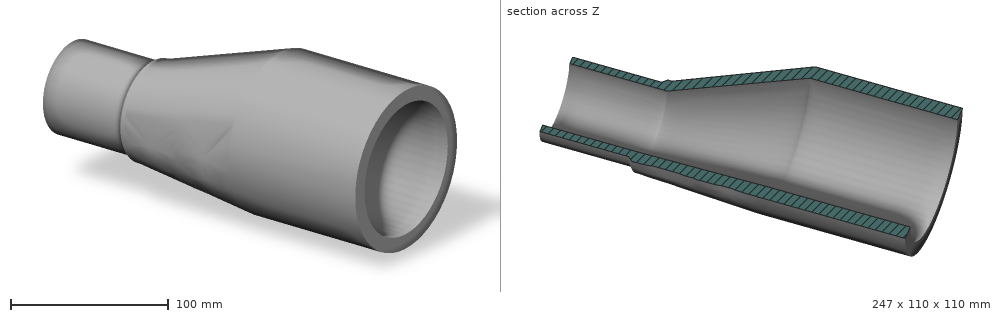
import cadquery as cq

total_length = 247.0
large_diameter = 110.0
large_bore = 90.0
small_diameter = 63.0
small_bore = 51.4
collar_diameter = 69.0

spigot_end = 60.0
collar_chamfer = (collar_diameter - small_diameter) / 2
collar_end = 65.7
cone_end = 147.7

small_axis_y = -(large_diameter - collar_diameter) / 2


def cylinder(start, end, diameter, axis_y):
    """Cylinder along X between two stations."""
    plane = cq.Workplane("YZ", origin=(start, axis_y, 0))
    return plane.circle(diameter / 2).extrude(end - start)


def eccentric_cone(small_end_diameter, large_end_diameter):
    """Oblique cone from the small pipe axis to the large pipe axis."""
    return (
        cq.Workplane("YZ", origin=(collar_end, 0, 0))
        .center(small_axis_y, 0)
        .circle(small_end_diameter / 2)
        .workplane(offset=cone_end - collar_end)
        .center(-small_axis_y, 0)
        .circle(large_end_diameter / 2)
        .loft(ruled=True)
    )


def reducer_body(small_end_diameter, cone_start_diameter, large_end_diameter):
    """Small cylinder, eccentric cone and large cylinder joined end to end."""
    small_part = cylinder(0, collar_end, small_end_diameter, small_axis_y)
    cone = eccentric_cone(cone_start_diameter, large_end_diameter)
    large_part = cylinder(cone_end, total_length, large_end_diameter, 0)
    return small_part.union(cone).union(large_part)


collar = (
    cylinder(spigot_end, collar_end, collar_diameter, small_axis_y)
    .faces("<X")
    .chamfer(collar_chamfer)
)

outside = reducer_body(small_diameter, collar_diameter, large_diameter).union(collar)
inside = reducer_body(small_bore, small_bore, large_bore)
result = outside.cut(inside)